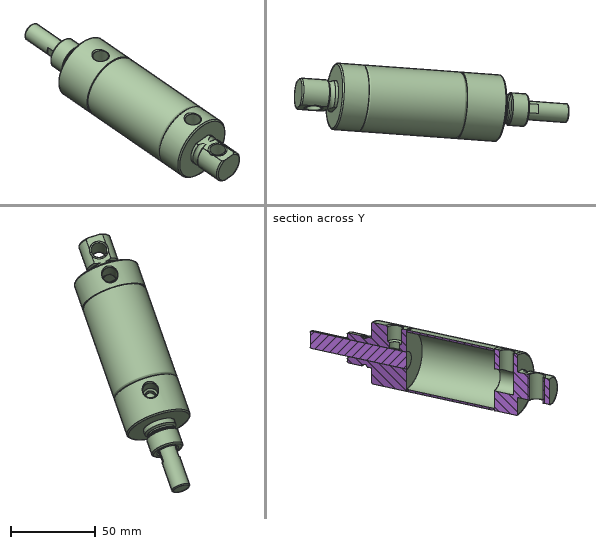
import cadquery as cq
import math


BODY_RADIUS = 19.8
BODY_CHAMFER = 0.8
FRONT_FACE_X = 42.1
FRONT_JOINT_X = 66.4
REAR_JOINT_X = 126.8
REAR_FACE_X = 143.0
TUBE_WALL = 1.7
TUBE_END_CHAMFER_LENGTH = 1.2
TUBE_END_CHAMFER_DEPTH = 0.8
TUBE_END_ROUND = 0.7

NECK_RADIUS = 9.7
NECK_CHAMFER = 0.8
RELIEF_RADIUS = 8.5
RELIEF_FRONT_LENGTH = 1.8
RELIEF_FLOOR_LENGTH = 1.0
RELIEF_REAR_LENGTH = 1.0
NOSE_FACE_X = 25.5
NOSE_RELIEF_X = 35.5
NOSE_SHOULDER_LENGTH = 1.0
NOSE_SHOULDER_RADIUS = 8.9
TAIL_END_X = 165.1
TAIL_RELIEF_X = 144.8
TAIL_FLAT_HEIGHT = 8.3

ROD_RADIUS = 5.6
ROD_CHAMFER = 0.7
FLATS_START_X = 19.0
FLAT_DISTANCE = 4.87
BORE_MOUTH_CHAMFER = 1.2

PORT_RADIUS = 4.6
PORT_MOUTH_CHAMFER = 0.8
FRONT_PORT_X = 58.1
FRONT_PORT_FLOOR_Z = 9.9
FRONT_PASSAGE_RADIUS = 3.3
DRILL_POINT_ANGLE = 118.0
REAR_PORT_X = 135.0
REAR_CHAMBER_RADIUS = 7.0
REAR_CHAMBER_END_X = REAR_PORT_X + PORT_RADIUS

PIVOT_X = 155.7
BUSHING_RADIUS = 5.6
BUSHING_BORE_RADIUS = 4.6


def turned(profile):
    """Solid of revolution about X from (x, radius) points; the ends close onto the axis."""
    points = [(profile[0][0], 0), *profile, (profile[-1][0], 0)]
    return cq.Workplane("XY").polyline(points).close().revolve(360, (0, 0, 0), (1, 0, 0))


def cylinder_x(radius, start_x, end_x):
    return turned([(start_x, radius), (end_x, radius)])


def cylinder_z(radius, x, bottom_z, top_z):
    return cq.Workplane("XY", origin=(x, 0, bottom_z)).circle(radius).extrude(top_z - bottom_z)


def relief_floor(start_x):
    """The two ends of the floor of a relief and the rear edge of the relief."""
    floor_start = start_x + RELIEF_FRONT_LENGTH
    floor_end = floor_start + RELIEF_FLOOR_LENGTH
    return [
        (floor_start, RELIEF_RADIUS),
        (floor_end, RELIEF_RADIUS),
        (floor_end + RELIEF_REAR_LENGTH, NECK_RADIUS),
    ]


def tail_relief():
    """Cutter for the tail relief; its front side is an arc tangent to the floor."""
    floor = relief_floor(TAIL_RELIEF_X)
    sweep = 2 * math.atan((NECK_RADIUS - RELIEF_RADIUS) / RELIEF_FRONT_LENGTH)
    arc_radius = RELIEF_FRONT_LENGTH / math.sin(sweep)
    arc_middle = (
        floor[0][0] - arc_radius * math.sin(sweep / 2),
        RELIEF_RADIUS + arc_radius * (1 - math.cos(sweep / 2)),
    )
    return (
        cq.Workplane("XY")
        .moveTo(TAIL_RELIEF_X, NECK_RADIUS)
        .threePointArc(arc_middle, floor[0])
        .lineTo(*floor[1])
        .lineTo(*floor[2])
        .close()
        .revolve(360, (0, 0, 0), (1, 0, 0))
    )


def port(x, bottom_z):
    """Cutter for a port from the top of the barrel, with a 45 degree chamfered mouth."""
    hole = cylinder_z(PORT_RADIUS, x, bottom_z, BODY_RADIUS)
    mouth = cq.Solid.makeCone(
        PORT_RADIUS,
        PORT_RADIUS + PORT_MOUTH_CHAMFER,
        PORT_MOUTH_CHAMFER,
        cq.Vector(x, 0, BODY_RADIUS - PORT_MOUTH_CHAMFER),
        cq.Vector(0, 0, 1),
    )
    return hole.union(cq.Workplane(mouth))


def front_port_bottom():
    """Cutter for the drill cone below the front port and the passage to the rod bore."""
    cone_depth = (PORT_RADIUS - FRONT_PASSAGE_RADIUS) / math.tan(math.radians(DRILL_POINT_ANGLE / 2))
    cone = cq.Solid.makeCone(
        FRONT_PASSAGE_RADIUS,
        PORT_RADIUS,
        cone_depth,
        cq.Vector(FRONT_PORT_X, 0, FRONT_PORT_FLOOR_Z - cone_depth),
        cq.Vector(0, 0, 1),
    )
    passage = cylinder_z(FRONT_PASSAGE_RADIUS, FRONT_PORT_X, 0, FRONT_PORT_FLOOR_Z - cone_depth)
    return passage.union(cq.Workplane(cone))


def make_rod():
    rod = turned([
        (0, ROD_RADIUS - ROD_CHAMFER),
        (ROD_CHAMFER, ROD_RADIUS),
        (FRONT_JOINT_X, ROD_RADIUS),
    ])
    flats_length = NOSE_FACE_X - FLATS_START_X
    for side in (1, -1):
        beyond_flat = cq.Workplane("XY").box(flats_length, ROD_RADIUS, 2 * ROD_RADIUS)
        beyond_flat = beyond_flat.translate(
            (FLATS_START_X + flats_length / 2, side * (FLAT_DISTANCE + ROD_RADIUS / 2), 0)
        )
        rod = rod.cut(beyond_flat)
    return rod


def make_front_cap():
    cap = turned([
        (NOSE_FACE_X, NECK_RADIUS - NECK_CHAMFER),
        (NOSE_FACE_X + NECK_CHAMFER, NECK_RADIUS),
        (NOSE_RELIEF_X, NECK_RADIUS),
        (NOSE_RELIEF_X, NOSE_SHOULDER_RADIUS),
        (NOSE_RELIEF_X + NOSE_SHOULDER_LENGTH, NOSE_SHOULDER_RADIUS),
        *relief_floor(NOSE_RELIEF_X),
        (FRONT_FACE_X, NECK_RADIUS),
        (FRONT_FACE_X, BODY_RADIUS - BODY_CHAMFER),
        (FRONT_FACE_X + BODY_CHAMFER, BODY_RADIUS),
        (FRONT_JOINT_X, BODY_RADIUS),
    ])
    rod_bore = turned([
        (NOSE_FACE_X, ROD_RADIUS + BORE_MOUTH_CHAMFER),
        (NOSE_FACE_X + BORE_MOUTH_CHAMFER, ROD_RADIUS),
        (FRONT_JOINT_X, ROD_RADIUS),
    ])
    cap = cap.cut(port(FRONT_PORT_X, FRONT_PORT_FLOOR_Z))
    cap = cap.cut(front_port_bottom())
    return cap.cut(rod_bore)


def make_tube():
    end_radius = BODY_RADIUS - TUBE_END_CHAMFER_DEPTH
    tube = turned([
        (FRONT_JOINT_X, end_radius),
        (FRONT_JOINT_X + TUBE_END_CHAMFER_LENGTH, BODY_RADIUS),
        (REAR_JOINT_X - TUBE_END_CHAMFER_LENGTH, BODY_RADIUS),
        (REAR_JOINT_X, end_radius),
    ])
    tube = tube.edges(cq.selectors.RadiusNthSelector(-1)).fillet(TUBE_END_ROUND)
    return tube.cut(cylinder_x(BODY_RADIUS - TUBE_WALL, FRONT_JOINT_X, REAR_JOINT_X))


def make_rear_cap():
    barrel = turned([
        (REAR_JOINT_X, BODY_RADIUS),
        (REAR_FACE_X - BODY_CHAMFER, BODY_RADIUS),
        (REAR_FACE_X, BODY_RADIUS - BODY_CHAMFER),
    ])
    barrel = barrel.cut(port(REAR_PORT_X, 0))
    barrel = barrel.cut(cylinder_x(REAR_CHAMBER_RADIUS, REAR_JOINT_X, REAR_CHAMBER_END_X))

    tail = turned([
        (REAR_FACE_X, NECK_RADIUS),
        (TAIL_END_X - NECK_CHAMFER, NECK_RADIUS),
        (TAIL_END_X, NECK_RADIUS - NECK_CHAMFER),
    ])
    tail = tail.cut(tail_relief())
    tail_length = TAIL_END_X - REAR_FACE_X
    between_flats = cq.Workplane("XY").box(tail_length, 2 * NECK_RADIUS, 2 * TAIL_FLAT_HEIGHT)
    tail = tail.intersect(between_flats.translate((REAR_FACE_X + tail_length / 2, 0, 0)))
    bushing_seat = cylinder_z(BUSHING_RADIUS, PIVOT_X, -TAIL_FLAT_HEIGHT, TAIL_FLAT_HEIGHT)
    return barrel.union(tail.cut(bushing_seat))


def make_bushing():
    sleeve = cylinder_z(BUSHING_RADIUS, PIVOT_X, -TAIL_FLAT_HEIGHT, TAIL_FLAT_HEIGHT)
    return sleeve.cut(cylinder_z(BUSHING_BORE_RADIUS, PIVOT_X, -TAIL_FLAT_HEIGHT, TAIL_FLAT_HEIGHT))


rod = make_rod()
front_cap = make_front_cap()
tube = make_tube()
rear_cap = make_rear_cap()
bushing = make_bushing()

result = cq.Compound.makeCompound([
    rod.val(),
    front_cap.val(),
    tube.val(),
    rear_cap.val(),
    bushing.val(),
])